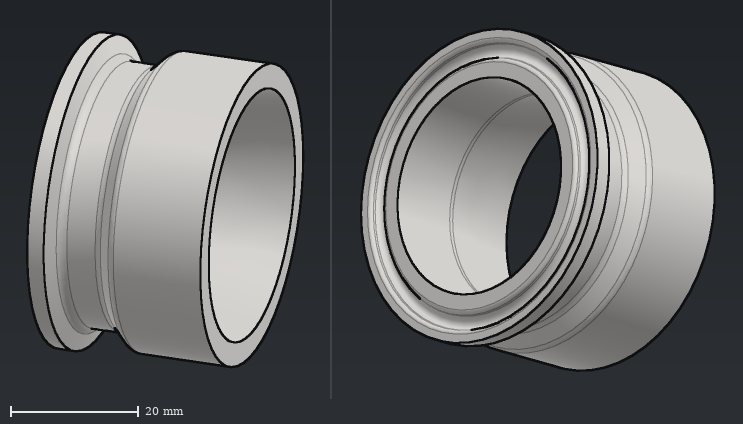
import cadquery as cq
import math

total_length = 28.55
rim_width = 2.75

flange_radius = 25.2
neck_radius = 42.6 / 2
shoulder_radius = 48.25 / 2

flange_back_angle = math.radians(20)
neck_start_fillet = 1.5
step_start = 10.6
step_fillet = 1.45
step_end = step_start + shoulder_radius - neck_radius

bore_radius = 34.8 / 2
bore_end_radius = 20.2
bore_taper_start = 12.6
bore_fillet = 4.55

groove_inner_radius = 19.9
groove_outer_radius = 23.8
groove_mid_radius = (groove_inner_radius + groove_outer_radius) / 2
groove_wall_angle = math.radians(15)
groove_floor_radius = 1.15
groove_lip_radius = 0.75



def revolve_about_x(points):
    """Revolve a closed outline of (x, radius) points about the X axis."""
    return cq.Workplane("XY").polyline(points).close().revolve(360, (0, 0, 0), (1, 0, 0))


def circle_edge_at(x, radius):
    """Select the circular edge centred on the axis at the given x and radius."""
    tolerance = 0.005
    low = (x - tolerance, -radius - tolerance, -radius - tolerance)
    high = (x + tolerance, radius + tolerance, radius + tolerance)
    return cq.selectors.BoxSelector(low, high, boundingbox=True)


def make_body():
    neck_start = rim_width + (flange_radius - neck_radius) * math.tan(flange_back_angle)
    body = revolve_about_x([
        (0, 0),
        (0, flange_radius),
        (rim_width, flange_radius),
        (neck_start, neck_radius),
        (step_start, neck_radius),
        (step_end, shoulder_radius),
        (total_length, shoulder_radius),
        (total_length, 0),
    ])
    body = body.edges(circle_edge_at(neck_start, neck_radius)).fillet(neck_start_fillet)
    body = body.edges(circle_edge_at(step_start, neck_radius)).fillet(step_fillet)
    return body.edges(circle_edge_at(step_end, shoulder_radius)).fillet(step_fillet)


def make_bore():
    bore = revolve_about_x([
        (0, 0),
        (0, bore_radius),
        (bore_taper_start, bore_radius),
        (total_length, bore_end_radius),
        (total_length, 0),
    ])
    return bore.edges(circle_edge_at(bore_taper_start, bore_radius)).fillet(bore_fillet)


def make_groove():
    """Ring with a round floor, steep straight walls and rounded lips at the face."""
    half_width = (groove_outer_radius - groove_inner_radius) / 2
    cos_wall = math.cos(groove_wall_angle)
    sin_wall = math.sin(groove_wall_angle)

    lip_end_x = groove_lip_radius * (1 - sin_wall)
    lip_end_offset = half_width - groove_lip_radius * cos_wall
    floor_end_offset = groove_floor_radius * cos_wall
    floor_end_x = lip_end_x + (lip_end_offset - floor_end_offset) / math.tan(groove_wall_angle)
    groove_depth = floor_end_x + groove_floor_radius * (1 - sin_wall)

    lip_half_turn = (math.pi / 2 - groove_wall_angle) / 2
    lip_mid_x = groove_lip_radius * (1 - math.cos(lip_half_turn))
    lip_mid_offset = half_width - groove_lip_radius * math.sin(lip_half_turn)

    def inner(x, offset):
        return (x, groove_mid_radius - offset)

    def outer(x, offset):
        return (x, groove_mid_radius + offset)

    return (
        cq.Workplane("XY")
        .moveTo(0, groove_inner_radius)
        .threePointArc(inner(lip_mid_x, lip_mid_offset), inner(lip_end_x, lip_end_offset))
        .lineTo(*inner(floor_end_x, floor_end_offset))
        .threePointArc((groove_depth, groove_mid_radius), outer(floor_end_x, floor_end_offset))
        .lineTo(*outer(lip_end_x, lip_end_offset))
        .threePointArc(outer(lip_mid_x, lip_mid_offset), (0, groove_outer_radius))
        .close()
        .revolve(360, (0, 0, 0), (1, 0, 0))
    )


result = make_body().cut(make_bore()).cut(make_groove())